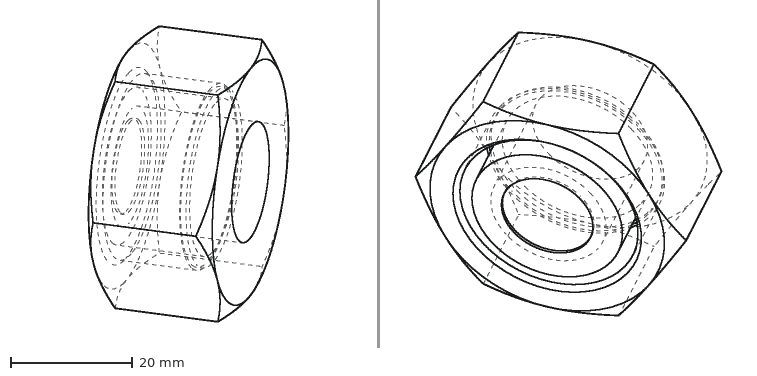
import cadquery as cq
import math

across_corners = 47.35
length = 21.5
across_flats = across_corners * math.cos(math.radians(30))
corner_chamfer_angle = 30.0

lip_radius = 8.0
lip_length = 0.5
bore_radius = 10.1
sleeve_radius = 13.15

groove_radius = 15.57
groove_mouth_radius = 16.47
groove_depth = 14.2
groove_floor_radius = 15.1
floor_step_depth = 0.95


def cylinder_along_x(radius, start, depth):
    return cq.Workplane("YZ", origin=(start, 0, 0)).circle(radius).extrude(depth)


def hex_body():
    """Hexagonal prism with corners on the Y axis and conical chamfers at both ends."""
    prism = cq.Workplane("YZ").polygon(6, across_corners).extrude(length)
    corner_radius = across_corners / 2
    face_radius = across_flats / 2
    chamfer_length = (corner_radius - face_radius) * math.tan(math.radians(corner_chamfer_angle))
    turned_envelope = (
        cq.Workplane("XY")
        .moveTo(0, 0)
        .lineTo(0, face_radius)
        .lineTo(chamfer_length, corner_radius)
        .lineTo(length - chamfer_length, corner_radius)
        .lineTo(length, face_radius)
        .lineTo(length, 0)
        .close()
        .revolve(360, (0, 0, 0), (1, 0, 0))
    )
    return prism.intersect(turned_envelope)


def annular_groove():
    """Blind ring around the sleeve: 45 degree mouth chamfer, then a stepped floor."""
    mouth_chamfer = groove_mouth_radius - groove_radius
    full_depth = groove_depth + floor_step_depth
    return (
        cq.Workplane("XY")
        .moveTo(0, sleeve_radius)
        .lineTo(0, groove_mouth_radius)
        .lineTo(mouth_chamfer, groove_radius)
        .lineTo(groove_depth, groove_radius)
        .lineTo(groove_depth, groove_floor_radius)
        .lineTo(full_depth, groove_floor_radius)
        .lineTo(full_depth, sleeve_radius)
        .close()
        .revolve(360, (0, 0, 0), (1, 0, 0))
    )


def through_bore():
    """Bore through the sleeve, narrowed by a short lip at the sleeve face."""
    lip_hole = cylinder_along_x(lip_radius, 0, lip_length)
    main_bore = cylinder_along_x(bore_radius, lip_length, length - lip_length)
    return lip_hole.union(main_bore)


result = hex_body().cut(annular_groove()).cut(through_bore())